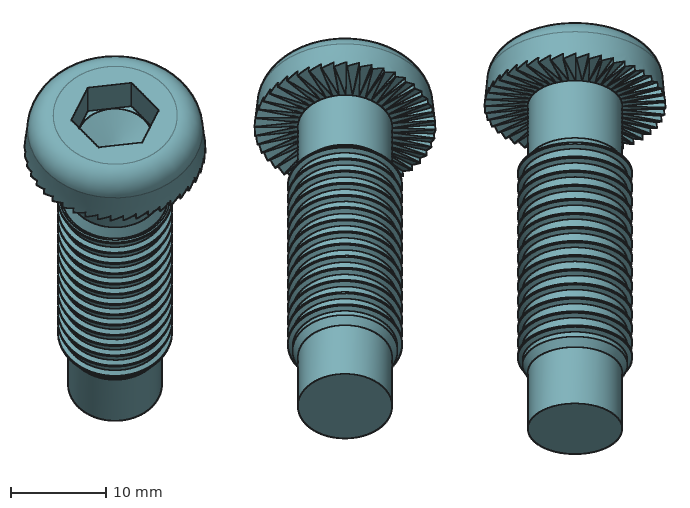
import cadquery as cq
import math


head_radius = 9.5
head_height = 5.81
top_flat_radius = 6.5
crown_height = 2.28
wall_draft = 5.0
underside_rise = 0.12

tooth_count = 44
tooth_depth = 0.65
cutter_overrun = 0.5

hex_flats = 8.0
socket_depth = 4.0
cone_radius = 3.95
cone_point_angle = 118.0

shank_radius = 4.95
neck_length = 7.0
pilot_length = 7.0
threaded_length = 26.0
thread_radius = 6.0
root_radius = 5.5
thread_pitch = 1.75
ring_count = 14
flank_half_angle = 30.0
chamfer_angle = 60.0
first_ring_drop = 1.31
lead_step_drop = 1.08

crown_base = head_height - crown_height
crown_base_radius = head_radius - crown_base * math.tan(math.radians(wall_draft))
thread_top = -neck_length
thread_bottom = thread_top - threaded_length
shank_bottom = thread_bottom - pilot_length
chamfer_slope = math.tan(math.radians(chamfer_angle))
chamfer_height = (root_radius - shank_radius) * chamfer_slope
crest_half_width = thread_pitch / 16
flank_slope = math.tan(math.radians(flank_half_angle))
ring_half_width = crest_half_width + (thread_radius - root_radius) * flank_slope
first_ring = thread_top - first_ring_drop

lead_step = thread_top - lead_step_drop
lead_step_inner = shank_radius + lead_step_drop / chamfer_slope
lead_step_outer = thread_radius - (lead_step - first_ring - crest_half_width) / flank_slope


def make_head():
    """Drafted round head, rounded at the crown and slightly hollow underneath."""
    profile = (
        cq.Workplane("XZ")
        .moveTo(0, head_height)
        .lineTo(top_flat_radius, head_height)
        .tangentArcPoint((crown_base_radius, crown_base), relative=False)
        .lineTo(head_radius, 0)
        .lineTo(shank_radius, underside_rise)
        .lineTo(0, underside_rise)
        .close()
    )
    return profile.revolve(360, (0, 0), (0, 1))


def make_shank():
    """Plain neck and pilot with the separate thread rings between them."""
    points = [
        (0, underside_rise),
        (shank_radius, underside_rise),
        (shank_radius, thread_top),
        (lead_step_inner, lead_step),
        (lead_step_outer, lead_step),
    ]
    for index in range(ring_count):
        center = first_ring - index * thread_pitch
        if index > 0:
            points.append((root_radius, center + ring_half_width))
        points += [
            (thread_radius, center + crest_half_width),
            (thread_radius, center - crest_half_width),
            (root_radius, center - ring_half_width),
        ]
    points += [
        (root_radius, thread_bottom + chamfer_height),
        (shank_radius, thread_bottom),
        (shank_radius, shank_bottom),
        (0, shank_bottom),
    ]
    return cq.Workplane("XZ").polyline(points).close().revolve(360, (0, 0), (0, 1))


def make_socket():
    """Hexagonal prism, corners on the X axis, ending in a shallow cone."""
    floor = head_height - socket_depth
    hex_corners = hex_flats / math.cos(math.pi / 6)
    prism = cq.Workplane("XY").workplane(offset=floor).polygon(6, hex_corners).extrude(socket_depth)
    cone_depth = cone_radius / math.tan(math.radians(cone_point_angle / 2))
    cone = (
        cq.Workplane("XZ")
        .polyline([(0, floor), (cone_radius, floor), (0, floor - cone_depth)])
        .close()
        .revolve(360, (0, 0), (0, 1))
    )
    return prism.union(cone)


def make_notch():
    """Sawtooth notch with one upright side, fading to nothing at the shank."""
    outer_radius = head_radius + cutter_overrun
    reach = (outer_radius - shank_radius) / (head_radius - shank_radius)
    foot_height = underside_rise * (1 - reach)
    top_height = underside_rise + (tooth_depth - underside_rise) * reach
    pitch_angle = 2 * math.pi / tooth_count
    ramp_foot_x = -outer_radius * math.sin(pitch_angle)
    ramp_foot_y = -outer_radius * math.cos(pitch_angle)
    inner = cq.Vector(0, -shank_radius, underside_rise)
    upright_foot = cq.Vector(0, -outer_radius, foot_height)
    upright_top = cq.Vector(0, -outer_radius, top_height)
    ramp_foot = cq.Vector(ramp_foot_x, ramp_foot_y, foot_height)
    triangles = [
        (inner, upright_foot, upright_top),
        (inner, upright_top, ramp_foot),
        (inner, ramp_foot, upright_foot),
        (upright_foot, ramp_foot, upright_top),
    ]
    faces = [cq.Face.makeFromWires(cq.Wire.makePolygon(t, close=True)) for t in triangles]
    return cq.Solid.makeSolid(cq.Shell.makeShell(faces))


def cut_serrations(head):
    """Cut the ring of sawtooth notches into the underside of the head."""
    notch = make_notch()
    step = 360 / tooth_count
    axis = (cq.Vector(0, 0, 0), cq.Vector(0, 0, 1))
    for index in range(tooth_count):
        head = head.cut(cq.Workplane(obj=notch.rotate(*axis, index * step)))
    return head


head = cut_serrations(make_head())
result = head.union(make_shank()).cut(make_socket())